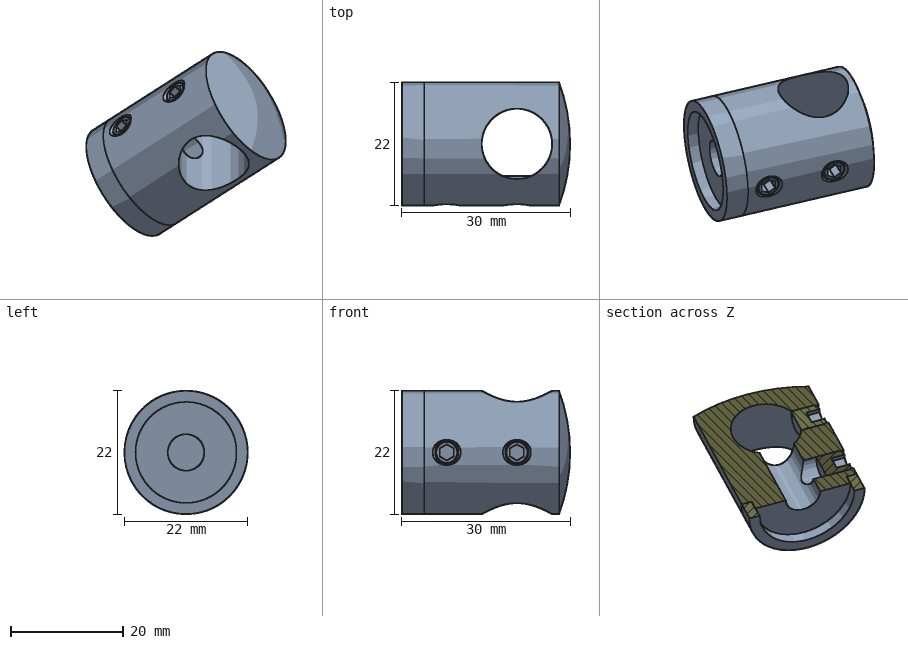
import cadquery as cq
import math

barrel_diameter = 22.0
barrel_radius = barrel_diameter / 2
total_length = 30.0
dome_height = 2.0
dome_start = total_length - dome_height

ring_length = 4.0
ring_bore_diameter = 18.0
recess_depth = 2.0

axial_bore_diameter = 6.5
cross_bore_diameter = 12.5
cross_bore_x = 20.5

screw_positions = [8.0, cross_bore_x]
screw_diameter = 5.0
screw_length = 5.0
screw_face_y = -10.7
screw_end_y = screw_face_y + screw_length
screw_face_diameter = 3.72
screw_chamfer_width = (screw_diameter - screw_face_diameter) / 2
screw_chamfer_angle = math.radians(30)
screw_chamfer_height = screw_chamfer_width * math.tan(screw_chamfer_angle)
socket_across_flats = 2.5
socket_across_corners = socket_across_flats / math.cos(math.pi / 6)
socket_depth = 2.5

countersink_depth = (screw_diameter - screw_face_diameter) / 2


def cylinder_along_x(diameter, start, end):
    return cq.Workplane("YZ", origin=(start, 0, 0)).circle(diameter / 2).extrude(end - start)


def cylinder_along_y(diameter, x, start, end):
    return cq.Workplane("XZ", origin=(x, start, 0)).circle(diameter / 2).extrude(start - end)


def make_ring():
    outer = cylinder_along_x(barrel_diameter, 0, ring_length)
    return outer.cut(cylinder_along_x(ring_bore_diameter, 0, ring_length))


def make_housing_blank():
    """Revolved barrel with a spigot at the ring end and a spherical dome at the other."""
    spigot_radius = ring_bore_diameter / 2
    dome_radius = (barrel_radius**2 + dome_height**2) / (2 * dome_height)
    half_angle = math.asin(barrel_radius / dome_radius) / 2
    dome_middle = (
        total_length - dome_radius * (1 - math.cos(half_angle)),
        dome_radius * math.sin(half_angle),
    )
    return (
        cq.Workplane("XY")
        .moveTo(recess_depth, 0)
        .lineTo(recess_depth, spigot_radius)
        .lineTo(ring_length, spigot_radius)
        .lineTo(ring_length, barrel_radius)
        .lineTo(dome_start, barrel_radius)
        .threePointArc(dome_middle, (total_length, 0))
        .close()
        .revolve(360, (0, 0, 0), (1, 0, 0))
    )


def make_countersink(x):
    return cq.Workplane(
        cq.Solid.makeCone(
            screw_diameter / 2,
            screw_face_diameter / 2,
            countersink_depth,
            pnt=cq.Vector(x, -barrel_radius, 0),
            dir=cq.Vector(0, 1, 0),
        )
    )


def make_screw_blank(x):
    blank = cylinder_along_y(screw_diameter, x, screw_face_y, screw_end_y)
    return blank.faces("<Y").chamfer(screw_chamfer_height, screw_chamfer_width)


def make_housing():
    cross_bore = (
        cq.Workplane("XY")
        .center(cross_bore_x, 0)
        .circle(cross_bore_diameter / 2)
        .extrude(barrel_radius, both=True)
    )
    housing = make_housing_blank().cut(cross_bore)
    housing = housing.cut(cylinder_along_x(axial_bore_diameter, recess_depth, cross_bore_x))
    for x in screw_positions:
        housing = housing.cut(make_countersink(x))
        housing = housing.cut(make_screw_blank(x))
        housing = housing.cut(cylinder_along_y(screw_diameter, x, screw_end_y, 0))
    return housing


def make_set_screw(x):
    socket = (
        cq.Workplane("XZ", origin=(x, screw_face_y, 0))
        .transformed(rotate=(0, 0, 90))
        .polygon(6, socket_across_corners)
        .extrude(-socket_depth)
    )
    return make_screw_blank(x).cut(socket)


ring = make_ring()
housing = make_housing()
set_screws = [make_set_screw(x) for x in screw_positions]

result = cq.Compound.makeCompound(
    [ring.val(), housing.solids().val(), *[screw.solids().val() for screw in set_screws]]
)